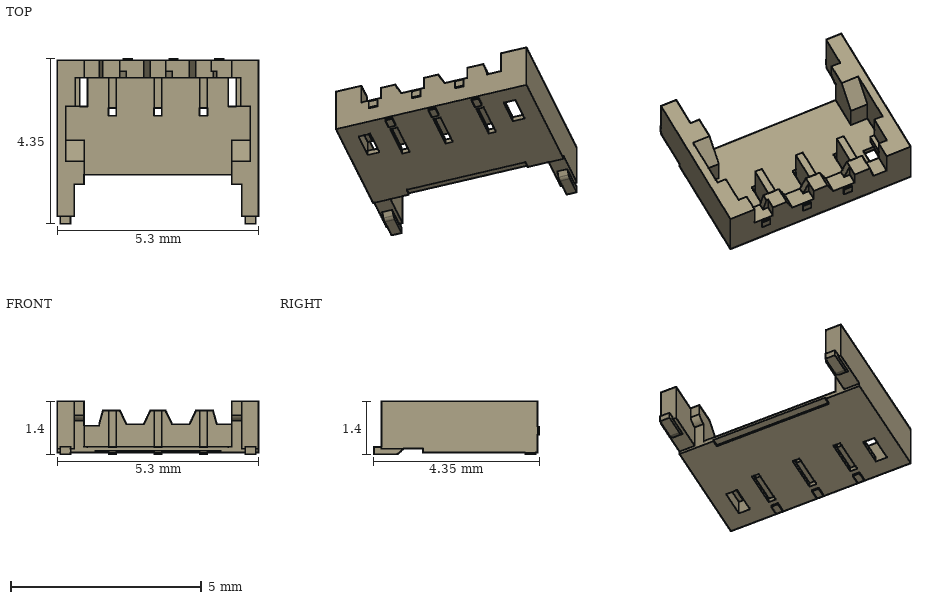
import cadquery as cq


body_width = 5.3
body_depth = 4.11
body_top = 1.4
standoff = 0.05
floor_top = 0.2
floor_depth = 3.02
front_wall_bottom = 0.15
half_width = body_width / 2

half_opening = 1.94
half_side_rear = 2.18
half_side_pocket = 2.425
half_side_front = 2.2
rear_wall_depth = 0.465
pocket_start = 1.215

lug_rear = 2.11
lug_ramp_front = 2.66
lug_front = 3.265
lug_ramp_bottom = 0.83
lug_lip_bottom = 1.03
lug_undercut_top = 0.885
undercut_sag_depth = 0.135
undercut_sag_rise = 0.034

window_inner = 1.855
ledge_inner = 2.055
ledge_bottom = 0.51
ledge_top = 0.7

pitch = 1.2
contact_positions = [-pitch, 0, pitch]
tooth_top = 1.16
notch_bottom = 0.8
left_notch_bottom = 0.76
middle_tooth_half_top = 0.2
middle_tooth_half_base = 0.375
side_tooth_inner_base = 0.83
side_tooth_inner_top = 1.0
side_tooth_outer_top = 1.45
side_tooth_outer_base = 1.55
relief_offset = 0.2
relief_width = 0.2
relief_depth = 0.285

contact_width = 0.2
blade_front = 1.26
blade_bottom = 0.19
blade_top = 1.145
slot_front = 1.46
tail_rear = 0.05
tail_front = 0.33
stub_offset = 0.41
stub_width = 0.235
stub_length = 0.04
stub_bottom = 0.52
stub_top = 0.73

foot_offset = 2.435
foot_width = 0.28
foot_height = 0.2
foot_front = 4.31
foot_rear = 3.53
foot_bend_radius = 0.15

recess_width = 3.3
recess_depth = 0.2
recess_top = 0.1


def block(x_min, x_max, rear, front, bottom, top):
    """Box given by its X limits, its distances in front of the rear face and its Z limits."""
    return cq.Workplane("XY").box(
        x_max - x_min, front - rear, top - bottom, centered=False
    ).translate((x_min, -front, bottom))


def bar(middle, width, rear, front, bottom, top):
    """Box centred on a given X position."""
    return block(middle - width / 2, middle + width / 2, rear, front, bottom, top)


def both_sides(shape):
    """The shape together with its mirror image across the middle of the part."""
    return shape.union(shape.mirror("YZ"))


def side_wall():
    rear = block(half_side_rear, half_width, 0, pocket_start, standoff, body_top)
    post = block(half_opening, half_width, 0, rear_wall_depth, standoff, body_top)
    pocket = block(half_side_pocket, half_width, pocket_start, floor_depth, standoff, body_top)
    front = block(half_side_front, half_width, floor_depth, body_depth, front_wall_bottom, body_top)
    ledge = block(ledge_inner, half_side_rear, rear_wall_depth, pocket_start, ledge_bottom, ledge_top)
    return rear.union(post).union(pocket).union(front).union(ledge).union(latch_lug())


def latch_lug():
    """Lug with a ramp at the rear and a curved undercut below its front lip."""
    undercut_middle = (-floor_depth - undercut_sag_depth, lug_undercut_top + undercut_sag_rise)
    profile = (
        cq.Workplane("YZ", origin=(half_opening, 0, 0))
        .moveTo(-lug_rear, standoff)
        .lineTo(-lug_rear, lug_ramp_bottom)
        .lineTo(-lug_ramp_front, body_top)
        .lineTo(-lug_front, body_top)
        .lineTo(-lug_front, lug_lip_bottom)
        .threePointArc(undercut_middle, (-floor_depth, lug_undercut_top))
        .lineTo(-floor_depth, standoff)
        .close()
    )
    return profile.extrude(half_side_pocket - half_opening)


def floor():
    plate = block(-half_side_pocket, half_side_pocket, 0, floor_depth, standoff, floor_top)
    window = block(window_inner, half_side_rear, rear_wall_depth, pocket_start, standoff, floor_top)
    recess = bar(0, recess_width, floor_depth - recess_depth, floor_depth, standoff, recess_top)
    plate = plate.cut(both_sides(window)).cut(recess)
    for x in contact_positions:
        plate = plate.cut(bar(x, contact_width, rear_wall_depth, slot_front, standoff, floor_top))
    return plate


def tooth(left_base, left_top, right_top, right_base):
    return (
        cq.Workplane("XZ")
        .polyline([
            (left_base, notch_bottom),
            (left_top, tooth_top),
            (right_top, tooth_top),
            (right_base, notch_bottom),
        ])
        .close()
        .extrude(rear_wall_depth)
    )


def rear_wall():
    wall = bar(0, 2 * half_opening, 0, rear_wall_depth, standoff, notch_bottom)
    deeper_notch = block(
        -half_opening, -side_tooth_outer_base, 0, rear_wall_depth, left_notch_bottom, notch_bottom
    )
    side_tooth = tooth(
        side_tooth_inner_base, side_tooth_inner_top, side_tooth_outer_top, side_tooth_outer_base
    )
    middle_tooth = tooth(
        -middle_tooth_half_base, -middle_tooth_half_top, middle_tooth_half_top, middle_tooth_half_base
    )
    wall = wall.cut(deeper_notch).union(both_sides(side_tooth)).union(middle_tooth)
    for x in contact_positions:
        relief_left = x + relief_offset
        relief = block(
            relief_left, relief_left + relief_width, 0, relief_depth, notch_bottom, tooth_top
        )
        wall = wall.cut(relief)
    return wall


def contact(x):
    """Blade reaching forward over its floor slot, with a solder tail below and a stub at the rear."""
    blade = bar(x, contact_width, relief_depth, blade_front, blade_bottom, blade_top)
    tail = bar(x, contact_width, tail_rear, tail_front, 0, floor_top)
    stub = bar(x + stub_offset, stub_width, -stub_length, rear_wall_depth, stub_bottom, stub_top)
    return blade.union(tail).union(stub)


def solder_foot():
    """Strip under the side wall that bends down to the board and runs out to the front."""
    foot = (
        cq.Workplane("YZ", origin=(foot_offset - foot_width / 2, 0, 0))
        .polyline([
            (-foot_rear, foot_height),
            (-foot_rear, front_wall_bottom),
            (-foot_rear - front_wall_bottom, 0),
            (-foot_front, 0),
            (-foot_front, foot_height),
        ])
        .close()
        .extrude(foot_width)
    )
    bend = cq.selectors.NearestToPointSelector((foot_offset, -foot_rear - front_wall_bottom, 0))
    return foot.edges(bend).fillet(foot_bend_radius)


result = floor().union(rear_wall())
result = result.union(both_sides(side_wall())).union(both_sides(solder_foot()))
for contact_x in contact_positions:
    result = result.union(contact(contact_x))